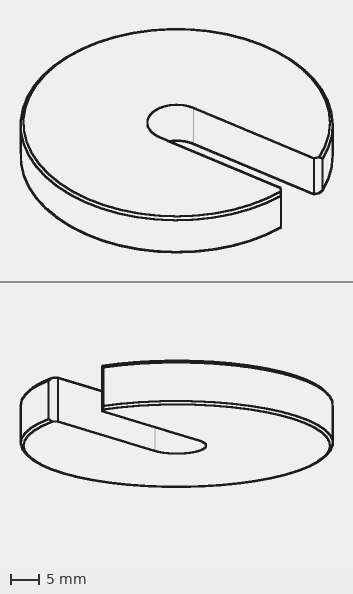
import cadquery as cq

disc_diameter = 54.95
thickness = 8.0
slot_width = 10.35
rim_chamfer = 0.5
mouth_depth = 1.0
mouth_inner_x = 25.7
mouth_outer_half_width = 6.5

disc_radius = disc_diameter / 2
slot_radius = slot_width / 2
mouth_outer_x = mouth_inner_x + mouth_depth


def make_disc():
    """Round plate with both rims chamfered."""
    return (
        cq.Workplane("XY")
        .circle(disc_radius)
        .extrude(thickness)
        .edges("%CIRCLE")
        .chamfer(rim_chamfer)
    )


def make_slot():
    """Through slot from the disc centre to the +X side, with a flared mouth."""
    return (
        cq.Workplane("XY")
        .moveTo(0, slot_radius)
        .threePointArc((-slot_radius, 0), (0, -slot_radius))
        .lineTo(mouth_inner_x, -slot_radius)
        .lineTo(mouth_outer_x, -mouth_outer_half_width)
        .lineTo(disc_diameter, -mouth_outer_half_width)
        .lineTo(disc_diameter, mouth_outer_half_width)
        .lineTo(mouth_outer_x, mouth_outer_half_width)
        .lineTo(mouth_inner_x, slot_radius)
        .close()
        .extrude(thickness)
    )


result = make_disc().cut(make_slot())